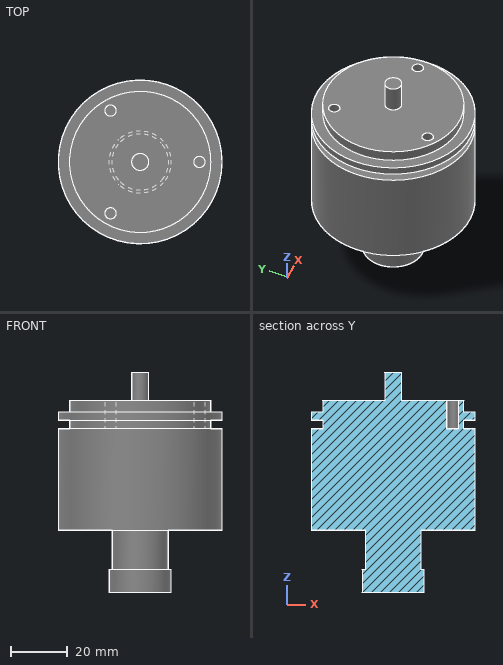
import cadquery as cq

body_diameter = 58.0
pilot_diameter = 50.0
shaft_diameter = 6.0
neck_diameter = 20.0
collar_diameter = 22.0

total_height = 78.0
collar_height = 8.2
neck_height = 13.8
body_height = 36.0
groove_height = 3.0
flange_height = 3.0
pilot_height = 4.05
shaft_height = (
    total_height - collar_height - neck_height - body_height
    - groove_height - flange_height - pilot_height
)

hole_count = 3
hole_diameter = 4.0
hole_circle_radius = 21.0
hole_depth = pilot_height + flange_height + groove_height

sections = [
    (collar_diameter, collar_height),
    (neck_diameter, neck_height),
    (body_diameter, body_height),
    (pilot_diameter, groove_height),
    (body_diameter, flange_height),
    (pilot_diameter, pilot_height),
    (shaft_diameter, shaft_height),
]


def stack_cylinders(cylinders):
    """Join cylinders end to end along Z, starting at Z = 0."""
    stack = cq.Workplane("XY")
    base = 0.0
    for diameter, height in cylinders:
        cylinder = cq.Workplane("XY").workplane(offset=base).circle(diameter / 2).extrude(height)
        stack = stack.union(cylinder)
        base += height
    return stack


def mounting_holes():
    """Cutters for the holes, evenly spaced with the first one on +X."""
    top_face = total_height - shaft_height
    return (
        cq.Workplane("XY")
        .workplane(offset=top_face)
        .polarArray(hole_circle_radius, 0, 360, hole_count)
        .circle(hole_diameter / 2)
        .extrude(-hole_depth)
    )


result = stack_cylinders(sections).cut(mounting_holes())